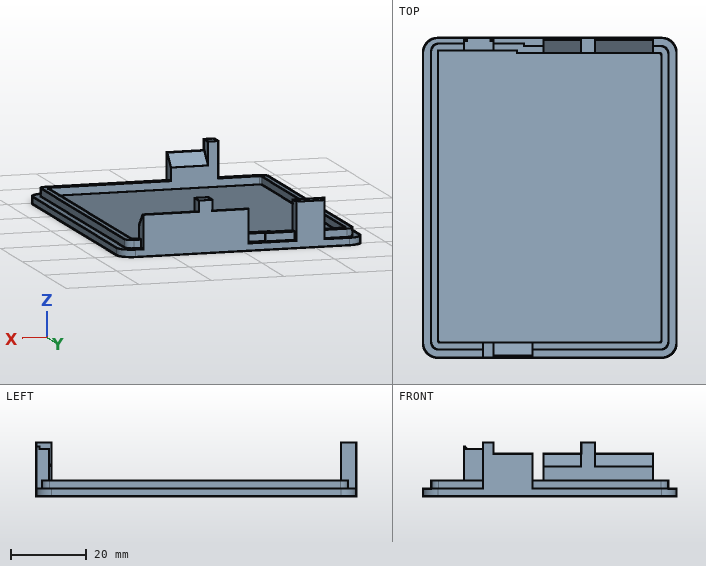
import cadquery as cq

WIDTH = 67.0
LENGTH = 84.5
PLATE_THICKNESS = 2.0
PLATE_RADIUS = 4.0

RIM_INSET = 2.2
RIM_WALL = 1.85
RIM_TOP = 4.2
RIM_RADIUS = 2.0
RIM_INNER_RADIUS = 0.5
WALL_DEPTH = RIM_INSET + RIM_WALL

STEP_OFFSET = 0.65
STEP_INNER_END = 24.85
STEP_OUTER_END = STEP_INNER_END + RIM_WALL

CLIP_TOP = 14.25
BLOCK_TOP = 11.25
BLOCK_LAND = 0.65
BLOCK_BEVEL = WALL_DEPTH - BLOCK_LAND
FRONT_CLIP = (15.85, 28.95)
FRONT_POST = (15.85, 18.7)
BACK_CLIP = (31.8, 60.8)
BACK_POST = (41.8, 45.5)

CORNER_POST = (10.85, 18.65)
CORNER_POST_TOP = 12.5
CORNER_POST_DEPTH = WALL_DEPTH - STEP_OFFSET
WEDGE_WIDTH = 0.75
WEDGE_LAND = 0.25
WEDGE_DEPTH = 0.9
WEDGE_HEIGHT = 0.6


def box(x_range, y_range, z_range):
    """Axis-aligned box between the given pairs of limits."""
    size = [high - low for low, high in (x_range, y_range, z_range)]
    corner = (x_range[0], y_range[0], z_range[0])
    return cq.Workplane("XY").box(*size, centered=False).translate(corner)


def rounded_box(inset, z_range, radius):
    """Box inset from the plate edges, with rounded vertical edges."""
    block = box((inset, WIDTH - inset), (inset, LENGTH - inset), z_range)
    return block.edges("|Z").fillet(radius)


def make_rim():
    """Rim of constant wall, shifted outward along the left of the back side."""
    z_range = (PLATE_THICKNESS, RIM_TOP)
    outer = rounded_box(RIM_INSET, z_range, RIM_RADIUS)
    inner = rounded_box(WALL_DEPTH, z_range, RIM_INNER_RADIUS)
    middle = LENGTH / 2

    def step_extension(inset, end):
        top = LENGTH - inset + STEP_OFFSET
        return box((inset, end), (middle, top), z_range)

    outer_step = step_extension(RIM_INSET, STEP_OUTER_END)
    outer = outer.union(outer_step.edges("|Z and <X and >Y").fillet(RIM_RADIUS))
    inner = inner.union(step_extension(WALL_DEPTH, STEP_INNER_END))
    return outer.cut(inner)


def make_clip(clip_range, post_range):
    """Clip on the front edge, sloped down toward +Y wherever its post leaves it free."""
    profile = [
        (0, PLATE_THICKNESS),
        (0, BLOCK_TOP),
        (BLOCK_LAND, BLOCK_TOP),
        (WALL_DEPTH, BLOCK_TOP - BLOCK_BEVEL),
        (WALL_DEPTH, PLATE_THICKNESS),
    ]
    start, end = clip_range
    block = cq.Workplane("YZ", origin=(start, 0, 0)).polyline(profile).close().extrude(end - start)
    return block.union(box(post_range, (0, WALL_DEPTH), (PLATE_THICKNESS, CLIP_TOP)))


def to_back(clip):
    """Mirror a front clip onto the back edge."""
    return clip.mirror("XZ").translate((0, LENGTH, 0))


def make_wedge(x_edge, inward):
    """Wedge on the corner post, highest at x_edge and falling inward (+1 or -1)."""
    profile = [
        (x_edge, CORNER_POST_TOP),
        (x_edge, CORNER_POST_TOP + WEDGE_HEIGHT),
        (x_edge + inward * WEDGE_LAND, CORNER_POST_TOP + WEDGE_HEIGHT),
        (x_edge + inward * WEDGE_WIDTH, CORNER_POST_TOP),
    ]
    plane = cq.Workplane("XZ", origin=(0, LENGTH, 0))
    return plane.polyline(profile).close().extrude(WEDGE_DEPTH)


def make_corner_post():
    """Plain post, flush with the back edge of the plate and the stepped rim."""
    y_range = (LENGTH - CORNER_POST_DEPTH, LENGTH)
    post = box(CORNER_POST, y_range, (PLATE_THICKNESS, CORNER_POST_TOP))
    left, right = CORNER_POST
    return post.union(make_wedge(left, 1)).union(make_wedge(right, -1))


plate = rounded_box(0, (0, PLATE_THICKNESS), PLATE_RADIUS)
front_clip = make_clip(FRONT_CLIP, FRONT_POST)
back_clip = to_back(make_clip(BACK_CLIP, BACK_POST))

result = (
    plate.union(make_rim())
    .union(front_clip)
    .union(back_clip)
    .union(make_corner_post())
)